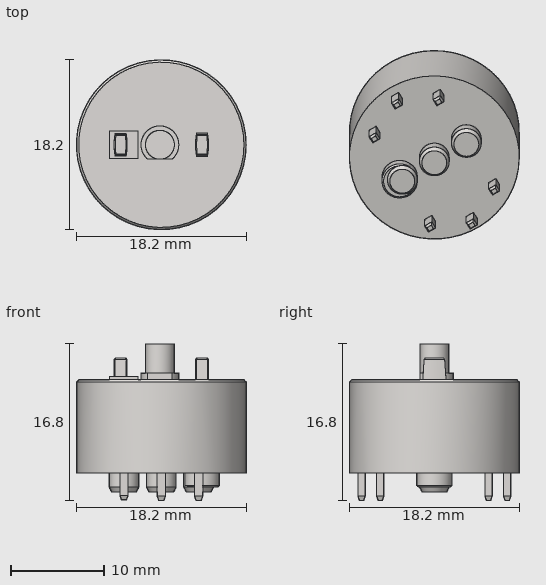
import cadquery as cq
import math

housing_diameter = 18.2
housing_height = 10.0
housing_chamfer = 0.25

shaft_x = -0.15
shaft_diameter = 3.1
shaft_height = 3.84
collar_diameter = 4.05
collar_height = 0.7

key_x = 4.36
key_height = 2.33
key_half_length = 1.25
key_middle_half_width = 0.7
key_end_half_width = 0.58
key_end_taper = 4.0
key_cap_height = 0.18
key_cap_inset = 0.12

plate_left_x = -5.57
plate_length_x = 3.1
plate_length_y = 2.9
plate_height = 0.35

boss_pitch = 4.0
boss_diameter = 3.2
boss_height = 2.03
boss_tip_height = 0.53
boss_tip_inset = 0.27
sleeve_diameter = 3.8
sleeve_offset = 0.33
sleeve_height = boss_height - boss_tip_height
sleeve_chamfer = 0.18

pin_length_x = 0.9
pin_length_y = 0.8
pin_tip_inset = 0.17
pin_tip_height = 0.5
outer_pin_y = 5.8
middle_pin_y = 7.8
pin_length = 2.96
left_pin_length = 2.88


def make_housing():
    blank = cq.Workplane("XY").circle(housing_diameter / 2).extrude(housing_height)
    return blank.faces(">Z").chamfer(housing_chamfer)


def make_shaft():
    """Plain shaft on a round collar whose front flat is tangent to the shaft."""
    top_face = cq.Workplane("XY", origin=(shaft_x, 0, housing_height))
    shaft = top_face.circle(shaft_diameter / 2).extrude(shaft_height)
    collar = top_face.circle(collar_diameter / 2).extrude(collar_height)
    flat_cutter = (
        top_face.center(0, -shaft_diameter / 2)
        .rect(collar_diameter, collar_diameter)
        .extrude(collar_height)
        .translate((0, -collar_diameter / 2, 0))
    )
    return shaft.union(collar.cut(flat_cutter))


def make_key(x):
    """Bowed prism cut back by two sloping end planes, under a bevelled cap."""
    shoulder_height = key_height - key_cap_height
    shoulder_half_length = key_half_length - shoulder_height * math.tan(math.radians(key_end_taper))
    bowed_prism = (
        cq.Workplane("XY")
        .moveTo(-key_end_half_width, -key_half_length)
        .lineTo(key_end_half_width, -key_half_length)
        .threePointArc((key_middle_half_width, 0), (key_end_half_width, key_half_length))
        .lineTo(-key_end_half_width, key_half_length)
        .threePointArc((-key_middle_half_width, 0), (-key_end_half_width, -key_half_length))
        .close()
        .extrude(shoulder_height)
    )
    side_profile = (
        cq.Workplane("YZ")
        .polyline([
            (-key_half_length, 0),
            (key_half_length, 0),
            (shoulder_half_length, shoulder_height),
            (-shoulder_half_length, shoulder_height),
        ])
        .close()
        .extrude(key_middle_half_width, both=True)
    )
    lower = bowed_prism.intersect(side_profile)
    cap_angle = math.degrees(math.atan2(key_cap_inset, key_cap_height))
    cap = lower.faces(">Z").wires().toPending().extrude(key_cap_height, taper=cap_angle, combine=False)
    return lower.union(cap).translate((x, 0, housing_height))


def make_plate():
    centre_x = plate_left_x + plate_length_x / 2
    top_face = cq.Workplane("XY", origin=(centre_x, 0, housing_height))
    return top_face.rect(plate_length_x, plate_length_y).extrude(plate_height)


def make_boss(x):
    boss = cq.Workplane("XY", origin=(x, 0, 0)).circle(boss_diameter / 2).extrude(-sleeve_height)
    tip_angle = math.degrees(math.atan2(boss_tip_inset, boss_tip_height))
    tip = (
        cq.Workplane("XY", origin=(x, 0, -sleeve_height))
        .circle(boss_diameter / 2)
        .extrude(-boss_tip_height, taper=tip_angle)
    )
    return boss.union(tip)


def make_sleeve():
    """Wider cylinder set outward so that its inner side nearly meets the right boss."""
    sleeve_x = boss_pitch + sleeve_offset
    sleeve = cq.Workplane("XY", origin=(sleeve_x, 0, 0)).circle(sleeve_diameter / 2).extrude(-sleeve_height)
    return sleeve.faces("<Z").chamfer(sleeve_chamfer)


def make_pin(x, y, length):
    """Rectangular pin with all four sides tapered at the tip."""
    shank_length = length - pin_tip_height
    shank = cq.Workplane("XY", origin=(x, y, 0)).rect(pin_length_x, pin_length_y).extrude(-shank_length)
    tip_angle = math.degrees(math.atan2(pin_tip_inset, pin_tip_height))
    tip = (
        cq.Workplane("XY", origin=(x, y, -shank_length))
        .rect(pin_length_x, pin_length_y)
        .extrude(-pin_tip_height, taper=tip_angle)
    )
    return shank.union(tip)


result = make_housing().union(make_shaft()).union(make_plate())

for side in (-1, 1):
    result = result.union(make_key(side * key_x))

for column in (-1, 0, 1):
    result = result.union(make_boss(column * boss_pitch))
result = result.union(make_sleeve())

for row in (-1, 1):
    result = result.union(make_pin(-boss_pitch, row * outer_pin_y, left_pin_length))
    result = result.union(make_pin(0, row * middle_pin_y, pin_length))
    result = result.union(make_pin(boss_pitch, row * outer_pin_y, pin_length))